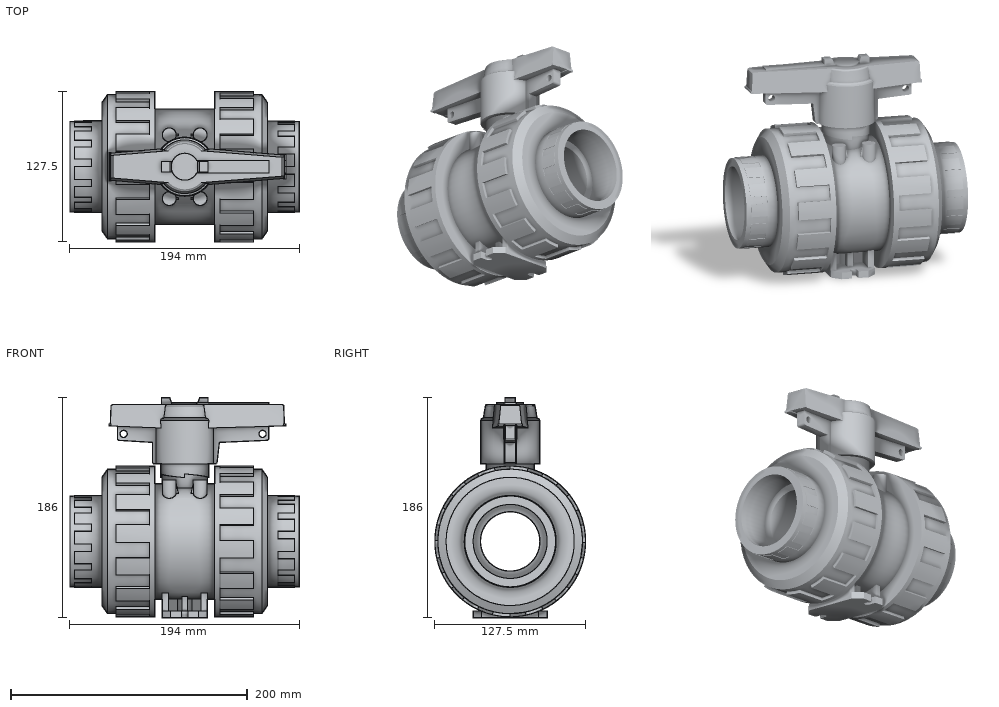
import cadquery as cq
import math


overlap = 1.0

length = 194.0
bore_radius = 25.0
socket_radius = 31.3
socket_depth = 29.5
pipe_radius = 38.85
pipe_rim_radius = 38.4
pipe_rim_width = 4.0
pipe_groove_end = 78.7

barrel_radius = 48.95
nut_inner_x = 25.25
nut_outer_x = 70.0
nut_radius = 61.1
nut_ring_radius = 63.75
nut_ring_width = 4.6
nut_tooth_end = 58.2
nut_chamfer_length = 4.8
nut_chamfer_height = 6.9

tooth_count = 14
tooth_pitch = 360.0 / tooth_count
pipe_tooth_angle = 16.2
nut_tooth_angle = 13.6

neck_radius = 19.3
collar_radius = 20.45
collar_bottom = 53.9
ramp_rise = 3.2
ramp_count = 4
stem_top = 86.2
hub_radius = 25.0
hub_bottom = 65.6
hub_shoulder = 102.1
shoulder_edge_radius = 24.5
shoulder_edge_z = 103.5
cap_base_radius = 22.7
cap_base_z = 104.6
cap_top_radius = 20.9
cap_fillet = 1.6

bar_top = 115.8
bar_hub_bottom = 95.9
bar_end_bottom = 97.6
bar_left_end = -63.1
bar_right_end = 84.5
bar_end_draft = 0.8
bar_left_half_width = 11.6
bar_right_half_width = 10.0
bar_middle_half_width = 16.7
bar_side_draft = 2.1
bar_end_chamfer_length = 1.5
bar_end_chamfer_height = 0.8
lip_thickness = 0.9
lip_height = 1.8
lip_overhang = 0.4

web_half_width = 4.3
slot_half_width = 5.4
slot_top = 98.0
web_left = -56.9
web_right = 71.1
web_end_z = 85.4
web_hub_z = 83.6
web_foot_half_length = 27.3
web_right_shoulder = 29.4
web_corner_radius = 1.8
web_foot_chamfer = 1.0
web_hole_radius = 2.9
web_hole_z = 90.9
web_hole_end_distance = 5.3

disc_radius = 11.4
disc_height = 1.5
strip_half_width = 5.3
lug_outer_x = 19.7
lug_inner_x = 12.6
lug_inner_base_x = 11.0
lug_half_width = 4.4
part_top = 121.5

post_x = 13.05
post_y = 26.9
post_radius = 5.85
post_top = 52.0
rib_top = 48.7
rib_outer_top = 40.0
rib_reach = 7.9
rib_half_width = 0.8

foot_bottom = -64.5
foot_thickness = 5.8
foot_half_length = 19.1
foot_half_width = 31.4
foot_corner = 7.3
foot_slot_radius = 2.9
foot_slot_center = 25.0
side_rib_width = 5.3
side_rib_half_length = 22.3
center_rib_half_width = 2.4
center_rib_half_length = 15.0
foot_boss_radius = 7.0
foot_web_half_width = 3.4


def cylinder_x(radius, start, end):
    return cq.Workplane("YZ").workplane(offset=start).circle(radius).extrude(end - start)


def cylinder_z(radius, start, end, y=0.0):
    return cq.Workplane("XY").workplane(offset=start).center(0, y).circle(radius).extrude(end - start)


def block(x_range, y_range, z_range):
    """Box spanning the three (low, high) ranges."""
    spans = [high - low for low, high in (x_range, y_range, z_range)]
    corner = (x_range[0], y_range[0], z_range[0])
    return cq.Workplane("XY").box(*spans, centered=False).translate(corner)


def grip_teeth(inner_radius, outer_radius, start, end, tooth_angle):
    """Ring of raised teeth around the bore axis between two X positions."""
    half_angle = math.radians(tooth_angle / 2)
    far = 2 * outer_radius
    spread = far * math.tan(half_angle)
    tooth = (
        cq.Workplane("YZ").workplane(offset=start)
        .polyline([(0, 0), (-spread, far), (spread, far)]).close()
        .extrude(end - start)
    )
    ring = cylinder_x(outer_radius, start, end).cut(cylinder_x(inner_radius, start, end))
    tooth = tooth.intersect(ring)
    teeth = cq.Workplane("XY")
    for index in range(tooth_count):
        angle = index * tooth_pitch + tooth_angle / 2
        teeth = teeth.add(tooth.rotate((0, 0, 0), (1, 0, 0), angle))
    return teeth.combine()


def union_end():
    """Nut and pipe end on the -X side."""
    end_x = -length / 2
    rim_x = end_x + pipe_rim_width
    ring_x = -nut_inner_x - nut_ring_width

    nut_body = cylinder_x(nut_radius, -nut_outer_x, -nut_inner_x)
    nut_body = nut_body.faces("<X").chamfer(nut_chamfer_length, nut_chamfer_height)
    nut_ring = cylinder_x(nut_ring_radius, ring_x, -nut_inner_x)
    nut_teeth = grip_teeth(nut_radius - overlap, nut_ring_radius, -nut_tooth_end, ring_x, nut_tooth_angle)

    pipe_core = cylinder_x(pipe_rim_radius, end_x, -nut_outer_x)
    pipe_sleeve = cylinder_x(pipe_radius, -pipe_groove_end, -nut_outer_x)
    pipe_teeth = grip_teeth(pipe_rim_radius - overlap, pipe_radius, rim_x, -pipe_groove_end, pipe_tooth_angle)

    end = nut_body.union(nut_ring).union(nut_teeth)
    return end.union(pipe_core).union(pipe_sleeve).union(pipe_teeth)


def stem():
    """Neck and stop collar; the collar's lower edge is a row of helical ramps."""
    neck = cylinder_z(neck_radius, 0, stem_top)
    collar = cylinder_z(collar_radius, collar_bottom, stem_top)
    collar = collar.cut(cylinder_z(neck_radius, collar_bottom, stem_top))

    cutter_radius = neck_radius - overlap
    cutter_width = collar_radius + overlap - cutter_radius
    cutter_height = ramp_rise + overlap
    path = cq.Wire.makeHelix(ramp_rise * ramp_count, ramp_rise, cutter_radius, lefthand=True)
    cutter = (
        cq.Workplane("XZ")
        .center(cutter_radius + cutter_width / 2, -cutter_height / 2)
        .rect(cutter_width, cutter_height)
        .sweep(cq.Workplane(path), isFrenet=True)
        .translate((0, 0, collar_bottom))
    )
    for index in range(ramp_count):
        collar = collar.cut(cutter.rotate((0, 0, 0), (0, 0, 1), index * 360.0 / ramp_count))
    return neck.union(collar)


def handle_bar():
    def outline(side_inset, end_inset):
        left = bar_left_end + end_inset
        right = bar_right_end - end_inset
        upper = [
            (left, bar_left_half_width - side_inset),
            (0, bar_middle_half_width - side_inset),
            (right, bar_right_half_width - side_inset),
        ]
        return upper + [(x, -y) for x, y in reversed(upper)]

    bar = (
        cq.Workplane("XY").workplane(offset=bar_hub_bottom)
        .polyline(outline(0, 0)).close()
        .workplane(offset=bar_top - bar_hub_bottom)
        .polyline(outline(bar_side_draft, bar_end_draft)).close()
        .loft(ruled=True)
    )
    bar = bar.faces(">Z").edges("|Y").chamfer(bar_end_chamfer_height, bar_end_chamfer_length)

    lip_z = (bar_hub_bottom, bar_end_bottom + lip_height)
    for end_x, half_width in (
        (bar_left_end, bar_left_half_width),
        (bar_right_end, bar_right_half_width),
    ):
        lip_x = (end_x - lip_thickness, end_x + lip_thickness)
        lip_y = (-half_width - lip_overhang, half_width + lip_overhang)
        bar = bar.union(block(lip_x, lip_y, lip_z))

    underside = (
        cq.Workplane("XZ")
        .polyline([
            (bar_left_end - lip_thickness, bar_end_bottom),
            (-collar_radius, bar_hub_bottom),
            (collar_radius, bar_hub_bottom),
            (bar_right_end + lip_thickness, bar_end_bottom),
            (bar_right_end + lip_thickness, hub_bottom),
            (bar_left_end - lip_thickness, hub_bottom),
        ]).close()
        .extrude(hub_radius, both=True)
    )
    return bar.cut(underside)


def hub():
    """Turned hub with a shoulder and a slightly conical cap."""
    body = (
        cq.Workplane("XZ")
        .polyline([
            (0, hub_bottom),
            (hub_radius, hub_bottom),
            (hub_radius, hub_shoulder),
            (shoulder_edge_radius, shoulder_edge_z),
            (cap_base_radius, cap_base_z),
            (cap_top_radius, bar_top),
            (0, bar_top),
        ]).close()
        .revolve(360, (0, 0, 0), (0, 1, 0))
    )
    return body.faces(">Z").edges().fillet(cap_fillet)


def locking_web():
    """Flat plate under the bar with a padlock hole near each end."""
    plate = (
        cq.Workplane("XZ")
        .polyline([
            (web_left, bar_end_bottom + lip_height),
            (web_left, web_end_z),
            (-web_foot_half_length, web_hub_z),
            (-web_foot_half_length, hub_bottom),
            (web_foot_half_length, hub_bottom),
            (web_right_shoulder, web_hub_z),
            (web_right, web_end_z),
            (web_right, bar_end_bottom + lip_height),
        ]).close()
        .extrude(web_half_width, both=True)
    )
    plate = plate.edges("|Y").edges("<X or >X").edges("<Z").fillet(web_corner_radius)
    plate = plate.faces("<Z").edges("|Y").chamfer(web_foot_chamfer)
    hole_places = [
        (web_left + web_hole_end_distance, web_hole_z),
        (web_right - web_hole_end_distance, web_hole_z),
    ]
    holes = (
        cq.Workplane("XZ").pushPoints(hole_places)
        .circle(web_hole_radius).extrude(web_half_width, both=True)
    )
    return plate.cut(holes)


def handle_top_details():
    """Raised disc, pointer strip and two lugs on top of the bar."""
    raised_z = bar_top + disc_height
    details = cylinder_z(disc_radius, bar_top - overlap, raised_z)
    strip = block((0, web_right), (-strip_half_width, strip_half_width), (bar_top - overlap, raised_z))
    details = details.union(strip)
    for side in (-1, 1):
        lug = (
            cq.Workplane("XZ")
            .polyline([
                (side * lug_outer_x, bar_top - overlap),
                (side * lug_outer_x, part_top),
                (side * lug_inner_x, part_top),
                (side * lug_inner_base_x, raised_z),
                (side * lug_inner_base_x, bar_top - overlap),
            ]).close()
            .extrude(lug_half_width, both=True)
        )
        details = details.union(lug)
    return details


def handle():
    slot_y = (-slot_half_width, slot_half_width)
    slot = block((2 * web_left, 2 * web_right), slot_y, (hub_bottom, slot_top))
    slot = slot.cut(cylinder_z(collar_radius, hub_bottom, stem_top))
    lever = hub().union(handle_bar()).cut(slot)
    return lever.union(locking_web()).union(handle_top_details())


def post():
    """Post beside the stem with two thin tapered ribs facing inward."""
    body = cylinder_z(post_radius, 0, post_top)
    rib = (
        cq.Workplane("XZ")
        .polyline([
            (0, 0),
            (rib_reach, 0),
            (rib_reach, rib_outer_top),
            (post_radius, rib_top),
            (0, rib_top),
        ]).close()
        .extrude(rib_half_width, both=True)
    )
    return body.union(rib).union(rib.rotate((0, 0, 0), (0, 0, 1), 90))


def posts():
    corner = post().translate((-post_x, -post_y, 0))
    pair = corner.union(corner.mirror("YZ"))
    return pair.union(pair.mirror("XZ"))


def foot():
    """Mounting plate with end slots, hung from the barrel by ribs and a round boss."""
    plate_top = foot_bottom + foot_thickness
    x_span = (-foot_half_length, foot_half_length)
    y_span = (-foot_half_width, foot_half_width)
    plate = block(x_span, y_span, (foot_bottom, plate_top))
    plate = plate.edges("|Z").chamfer(foot_corner)
    slot_x = (-foot_slot_radius, foot_slot_radius)
    for side in (-1, 1):
        slot_y = sorted((side * foot_slot_center, side * (foot_half_width + overlap)))
        slot = block(slot_x, slot_y, (foot_bottom, plate_top))
        slot = slot.union(cylinder_z(foot_slot_radius, foot_bottom, plate_top, y=side * foot_slot_center))
        plate = plate.cut(slot)

    hanger_z = (foot_bottom, -pipe_radius)
    hanger = block(x_span, (-foot_web_half_width, foot_web_half_width), hanger_z)
    hanger = hanger.union(cylinder_z(foot_boss_radius, *hanger_z))
    center_x = (-center_rib_half_width, center_rib_half_width)
    hanger = hanger.union(block(center_x, (-center_rib_half_length, center_rib_half_length), hanger_z))
    rib_y = (-side_rib_half_length, side_rib_half_length)
    for inner_edge in (-foot_half_length, foot_half_length - side_rib_width):
        hanger = hanger.union(block((inner_edge, inner_edge + side_rib_width), rib_y, hanger_z))
    return plate.union(hanger)


def build():
    left_end = union_end()
    right_end = left_end.rotate((0, 0, 0), (0, 0, 1), 180)
    valve = cylinder_x(barrel_radius, -nut_inner_x, nut_inner_x)
    valve = valve.union(left_end).union(right_end)
    valve = valve.union(stem()).union(posts()).union(foot()).union(handle())
    valve = valve.cut(cylinder_x(bore_radius, -length / 2, length / 2))
    socket = cylinder_x(socket_radius, -length / 2, -length / 2 + socket_depth)
    return valve.cut(socket).cut(socket.mirror("YZ"))


result = build()